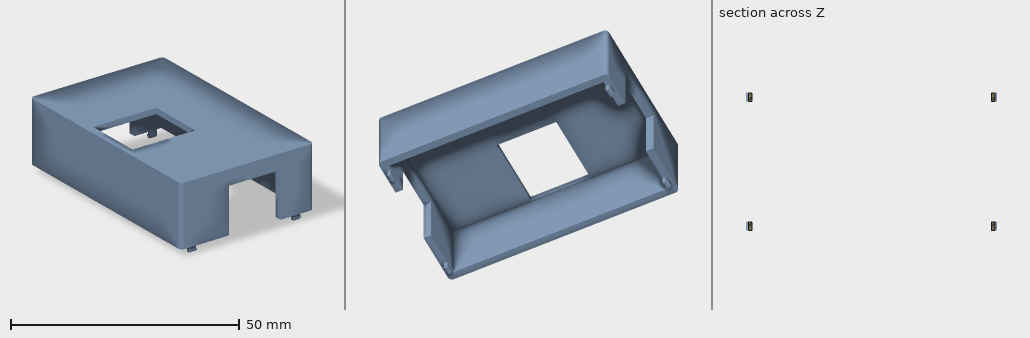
import cadquery as cq

length = 56.0
width = 36.0
total_height = 17.8
clip_drop = 1.8
body_height = total_height - clip_drop
corner_radius = 1.0
wall = 1.8
roof = 1.5

window_length = 14.55
window_width = 17.0
window_front_margin = 2.0

notch_width = 13.9
notch_height = 12.0
notch_center_y = 2.0

clip_width = 1.95
clip_thickness = 0.8
clip_center_y = 14.1
hook_reach = 0.45
hook_height = 0.6
tip_flat = 0.4
tip_bevel = 0.2


def make_shell():
    """Box with rounded vertical edges, hollowed from below."""
    body = cq.Workplane("XY").box(length, width, body_height, centered=(True, True, False))
    body = body.edges("|Z").fillet(corner_radius)
    cavity = cq.Workplane("XY").box(
        length - 2 * wall, width - 2 * wall, body_height - roof, centered=(True, True, False)
    )
    return body.cut(cavity)


def make_window():
    """Cutter for the rectangular opening in the roof."""
    center_y = -width / 2 + window_front_margin + window_width / 2
    return (
        cq.Workplane("XY", origin=(0, center_y, body_height - roof))
        .box(window_length, window_width, roof, centered=(True, True, False))
    )


def make_notches():
    """Cutter that opens both end walls from the bottom edge."""
    return (
        cq.Workplane("XY", origin=(0, notch_center_y, 0))
        .box(length, notch_width, notch_height, centered=(True, True, False))
    )


def make_clip(center_y):
    """Clip at the -X end, flush with the inner end-wall face and hooked outward."""
    inner_x = -length / 2 + wall
    outer_x = inner_x - clip_thickness
    hook_z = -clip_drop + hook_height
    tip_x = inner_x - tip_bevel
    return (
        cq.Workplane("XZ", origin=(0, center_y + clip_width / 2, 0))
        .moveTo(outer_x, 0)
        .lineTo(outer_x, hook_z)
        .lineTo(outer_x - hook_reach, hook_z)
        .lineTo(tip_x - tip_flat, -clip_drop)
        .lineTo(tip_x, -clip_drop)
        .lineTo(inner_x, -clip_drop + tip_bevel)
        .lineTo(inner_x, 0)
        .close()
        .extrude(clip_width)
    )


result = make_shell().cut(make_window()).cut(make_notches())
for clip_y in (-clip_center_y, clip_center_y):
    clip = make_clip(clip_y)
    result = result.union(clip).union(clip.mirror("YZ"))